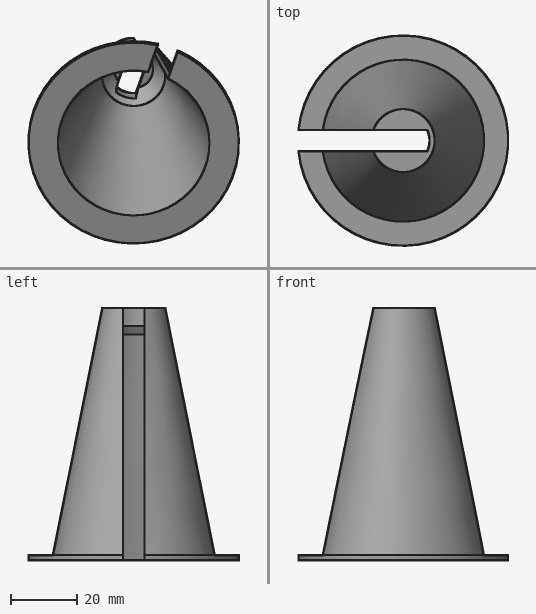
import cadquery as cq
import math

height = 76.2
wall = 1.5875

flange_radius = 31.75
flange_thickness = 1.5875

cone_base_radius = 24.45
cone_tip_radius = 9.525

cavity_base_radius = cone_base_radius - wall
cavity_shoulder_radius = 9.525
cavity_roof_radius = 5.8
shoulder_depth = 8.05
roof_depth = 1.9

slot_width = 6.35
slot_end_radius = cone_tip_radius - wall


def revolve_profile(points):
    """Revolve a closed (radius, height) profile about Z, with its seam on -X inside the slot."""
    profile = cq.Workplane("XZ").polyline([(-radius, z) for radius, z in points]).close()
    return profile.revolve(360, (0, 0, 0), (0, 1, 0))


def make_body():
    """Solid cone standing on the round flange."""
    return revolve_profile([
        (0, 0),
        (flange_radius, 0),
        (flange_radius, flange_thickness),
        (cone_base_radius, flange_thickness),
        (cone_tip_radius, height),
        (0, height),
    ])


def make_cavity():
    """Hollow inside of the cone."""
    return revolve_profile([
        (0, 0),
        (cavity_base_radius, 0),
        (cavity_shoulder_radius, height - shoulder_depth),
        (cavity_roof_radius, height - roof_depth),
        (0, height - roof_depth),
    ])


def make_slot():
    """Full-height slot whose closed end is an arc about the cone axis."""
    half_width = slot_width / 2
    arc_start_x = math.sqrt(slot_end_radius**2 - half_width**2)
    return (
        cq.Workplane("XY")
        .moveTo(-flange_radius, -half_width)
        .lineTo(arc_start_x, -half_width)
        .threePointArc((slot_end_radius, 0), (arc_start_x, half_width))
        .lineTo(-flange_radius, half_width)
        .close()
        .extrude(height)
    )


result = make_body().cut(make_cavity()).cut(make_slot())